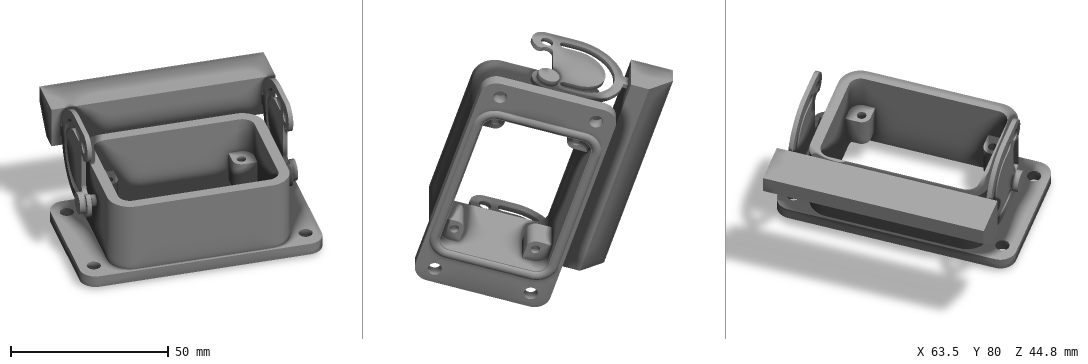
import cadquery as cq
import math


total_height = 44.8
flange_length = 80
flange_width = 45.0
flange_thickness = 4
flange_corner = 5.3
frame_length = 60
frame_width = 43.0
frame_top = 27.8
frame_corner = 7.5
wall = 3.5

bead_radius = 1.7
bead_protrusion = 1.0

mount_pitch_x = 32
mount_pitch_y = 70.0
mount_diameter = 4.5

boss_size = 7.5
boss_corner = 3.0
boss_bottom = 5.7
boss_height = 10.0
screw_pitch_x = 27.0
screw_pitch_y = 44
screw_diameter = 3.0

plate_outer_y = 34.0
plate_thickness = 1.5
end_radius = 5.0
pin_offset = 10.5
bow_radius = pin_offset + end_radius
bow_center_x = -10.0
lever_z = total_height - bead_protrusion - bow_radius
pin_z = lever_z - pin_offset
peg_hole_diameter = 4
notch_radius = 2.0
slot_width = 3.0
slot_radius = bow_radius - 1.5 * slot_width
slot_end_x = -5.8

handle_left = -41.0
handle_width = 14.0
handle_right = handle_left + handle_width
handle_length = 74.0
handle_rise = 8
handle_top = lever_z + handle_rise
handle_height = 13.9
handle_chamfer = 8
neck_height = 4

pin_diameter = 4
pin_head_diameter = 7.0
pin_head_outer_y = 36


def rounded_block(width, length, corner, bottom, height):
    """Upright block centred on Z with rounded vertical edges."""
    block = cq.Workplane("XY").workplane(offset=bottom).rect(width, length).extrude(height)
    return block.edges("|Z").fillet(corner)


def xz_prism(sketch_outline, outer_y, length):
    """Extrude an XZ outline from -Y position -outer_y toward +Y by length."""
    return sketch_outline.extrude(-length).translate((0, -outer_y, 0))


def make_frame():
    flange = rounded_block(flange_width, flange_length, flange_corner, 0, flange_thickness)
    mount_holes = (
        cq.Workplane("XY")
        .rect(mount_pitch_x, mount_pitch_y, forConstruction=True)
        .vertices()
        .circle(mount_diameter / 2)
        .extrude(flange_thickness)
    )
    walls = rounded_block(frame_width, frame_length, frame_corner, 0, frame_top)
    opening = rounded_block(
        frame_width - 2 * wall,
        frame_length - 2 * wall,
        frame_corner - wall,
        0,
        frame_top,
    )
    return flange.cut(mount_holes).union(walls).cut(opening).union(make_bead())


def make_bead():
    """Round bar swept along the middle of the frame walls, sunk partly into them."""
    bead_z = bead_radius - bead_protrusion
    mid_x = frame_width / 2 - wall / 2
    mid_y = frame_length / 2 - wall / 2
    corner = frame_corner - wall / 2
    arc_inset = corner * (1 - math.sqrt(0.5))
    path = (
        cq.Workplane("XY", origin=(0, 0, bead_z))
        .moveTo(mid_x, 0)
        .lineTo(mid_x, mid_y - corner)
        .threePointArc((mid_x - arc_inset, mid_y - arc_inset), (mid_x - corner, mid_y))
        .lineTo(corner - mid_x, mid_y)
        .threePointArc((arc_inset - mid_x, mid_y - arc_inset), (-mid_x, mid_y - corner))
        .lineTo(-mid_x, 0)
    )
    half_loop = cq.Workplane("XZ", origin=(mid_x, 0, bead_z)).circle(bead_radius).sweep(path)
    return half_loop.union(half_loop.mirror("XZ"))


def make_boss(side_x, side_y):
    """Corner boss with one rounded free edge, overlapping the wall."""
    inner_x = frame_width / 2 - wall - boss_size
    inner_y = frame_length / 2 - wall - boss_size
    outer_x = frame_width / 2 - wall / 2
    outer_y = frame_length / 2 - wall / 2
    boss = (
        cq.Workplane("XY")
        .box(outer_x - inner_x, outer_y - inner_y, boss_height, centered=False)
        .translate((inner_x, inner_y, boss_bottom))
        .edges("|Z and <X and <Y")
        .fillet(boss_corner)
    )
    corner_envelope = rounded_block(
        frame_width - wall, frame_length - wall, frame_corner - wall / 2, boss_bottom, boss_height
    )
    screw_hole = (
        cq.Workplane("XY", origin=(screw_pitch_x / 2, screw_pitch_y / 2, boss_bottom))
        .circle(screw_diameter / 2)
        .extrude(boss_height)
    )
    boss = boss.intersect(corner_envelope).cut(screw_hole)
    if side_x < 0:
        boss = boss.mirror("YZ")
    if side_y < 0:
        boss = boss.mirror("XZ")
    return boss


def plate_outline():
    """Bow-shaped plate outline, symmetric about the lever centre height."""
    nose_radius = (end_radius - notch_radius) / 2
    notch_z = pin_offset - end_radius
    nose_z = (pin_offset + notch_z) / 2
    nose_x = math.sqrt((end_radius - nose_radius) ** 2 - (pin_offset - nose_z) ** 2)

    slope = math.atan2(pin_offset - nose_z, nose_x)
    cos_slope = math.cos(slope)
    sin_slope = math.sin(slope)
    end_touch = (end_radius * cos_slope, pin_offset - end_radius * sin_slope)
    notch_touch = (notch_radius * cos_slope, notch_z + notch_radius * sin_slope)

    def at(x, z):
        return (x, lever_z + z)

    return (
        cq.Workplane("XZ")
        .moveTo(*at(bow_center_x, bow_radius))
        .lineTo(*at(0, bow_radius))
        .threePointArc(at(end_radius, pin_offset), at(*end_touch))
        .threePointArc(at(nose_x, nose_z - nose_radius), at(*notch_touch))
        .threePointArc(at(0, notch_z + notch_radius), at(-notch_radius, notch_z))
        .lineTo(*at(-notch_radius, -notch_z))
        .threePointArc(at(0, -notch_z - notch_radius), at(notch_touch[0], -notch_touch[1]))
        .threePointArc(at(nose_x, nose_radius - nose_z), at(end_touch[0], -end_touch[1]))
        .threePointArc(at(end_radius, -pin_offset), at(0, -bow_radius))
        .lineTo(*at(bow_center_x, -bow_radius))
        .threePointArc(at(bow_center_x - bow_radius, 0), at(bow_center_x, bow_radius))
        .close()
    )


def slot_outline():
    """C-shaped slot of constant width that follows the bow."""
    half_width = slot_width / 2
    outer = slot_radius + half_width
    inner = slot_radius - half_width
    tip_x = slot_end_x + half_width
    return (
        cq.Workplane("XZ")
        .moveTo(bow_center_x, lever_z + outer)
        .lineTo(slot_end_x, lever_z + outer)
        .threePointArc((tip_x, lever_z + slot_radius), (slot_end_x, lever_z + inner))
        .lineTo(bow_center_x, lever_z + inner)
        .threePointArc((bow_center_x - inner, lever_z), (bow_center_x, lever_z - inner))
        .lineTo(slot_end_x, lever_z - inner)
        .threePointArc((tip_x, lever_z - slot_radius), (slot_end_x, lever_z - outer))
        .lineTo(bow_center_x, lever_z - outer)
        .threePointArc((bow_center_x - outer, lever_z), (bow_center_x, lever_z + outer))
        .close()
    )


def make_side_plate():
    """Lever plate on the -Y side with its neck to the handle and its pivot pin."""
    plate = xz_prism(plate_outline(), plate_outer_y, plate_thickness)
    slot = xz_prism(slot_outline(), plate_outer_y, plate_thickness)
    peg_hole = xz_prism(
        cq.Workplane("XZ").center(0, lever_z + pin_offset).circle(peg_hole_diameter / 2),
        plate_outer_y,
        plate_thickness,
    )
    neck_end = bow_center_x - bow_radius + slot_width / 2
    neck = xz_prism(
        cq.Workplane("XZ")
        .center((handle_right + neck_end) / 2, lever_z)
        .rect(neck_end - handle_right, neck_height),
        plate_outer_y,
        plate_thickness,
    )
    pin_sketch = cq.Workplane("XZ").center(0, pin_z)
    pin_inner_y = frame_length / 2 - wall / 2
    shaft = xz_prism(pin_sketch.circle(pin_diameter / 2), plate_outer_y, plate_outer_y - pin_inner_y)
    head = xz_prism(
        pin_sketch.circle(pin_head_diameter / 2), pin_head_outer_y, pin_head_outer_y - plate_outer_y
    )
    return plate.cut(slot).cut(peg_hole).union(neck).union(shaft).union(head)


def make_handle():
    handle_bottom = handle_top - handle_height
    outline = cq.Workplane("XZ").polyline(
        [
            (handle_left, handle_top),
            (handle_right, handle_top),
            (handle_right, handle_bottom),
            (handle_left + handle_chamfer, handle_bottom),
            (handle_left, handle_bottom + handle_chamfer),
        ]
    ).close()
    return xz_prism(outline, handle_length / 2, handle_length)


result = make_frame()
for side_x in (-1, 1):
    for side_y in (-1, 1):
        result = result.union(make_boss(side_x, side_y))

side_plate = make_side_plate()
result = result.union(side_plate).union(side_plate.mirror("XZ")).union(make_handle())